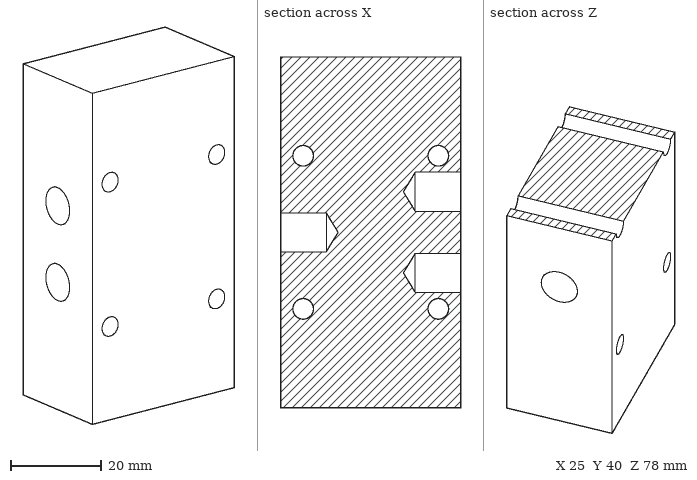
import cadquery as cq
import math

width = 25.0
depth = 40.0
height = 78.0

mount_diameter = 4.5
mount_pitch_y = 30.0
mount_pitch_z = 34.0

port_diameter = 8.6
port_depth = 10.15
port_pitch_z = 18.0
drill_point_angle = 118.0


def drilled_port(z, side):
    """Blind drilling entering the Y face on the given side (-1 or +1)."""
    radius = port_diameter / 2
    point_length = radius / math.tan(math.radians(drill_point_angle / 2))
    mouth = side * depth / 2
    floor = mouth - side * port_depth
    tip = floor - side * point_length
    return (
        cq.Workplane("XY", origin=(0, 0, z))
        .polyline([(0, mouth), (radius, mouth), (radius, floor), (0, tip)])
        .close()
        .revolve(360, (0, 0, 0), (0, 1, 0))
    )


block = cq.Workplane("XY").box(width, depth, height)

mount_holes = (
    cq.Workplane("YZ", origin=(-width / 2, 0, 0))
    .rarray(mount_pitch_y, mount_pitch_z, 2, 2)
    .circle(mount_diameter / 2)
    .extrude(width)
)

result = block.cut(mount_holes)

ports = [(-port_pitch_z / 2, -1), (port_pitch_z / 2, -1), (0, 1)]
for port_z, port_side in ports:
    result = result.cut(drilled_port(port_z, port_side))